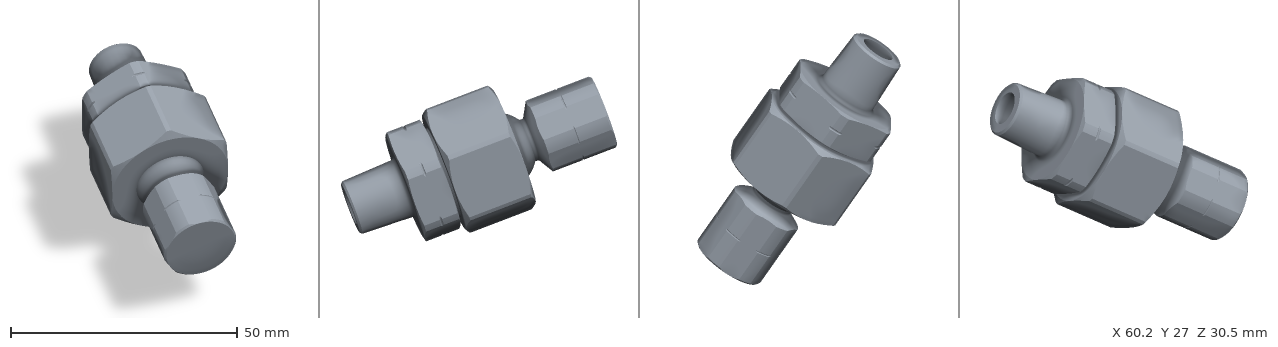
import cadquery as cq
import math

STUB_END = 12.05
SMALL_HEX_START = 12.95
SMALL_HEX_END = 21.5
LARGE_HEX_START = 22.2
LARGE_HEX_END = 38.8
NECK_START = 42.0
CONE_START = 42.85
TOTAL_LENGTH = 60.2

STUB_TIP_DIAMETER = 12.45
STUB_ROOT_DIAMETER = 13.4
TIP_CHAMFER = 0.5
ROOT_FILLET = SMALL_HEX_START - STUB_END
BORE_DIAMETER = 7.5
BORE_DEPTH = SMALL_HEX_END

SMALL_HEX_FLATS = 24.0
SMALL_HEX_CORNERS = 26.6
SMALL_HEX_CHAMFER_ANGLE = 15.0
LARGE_HEX_FLATS = 27.0
LARGE_HEX_CORNERS = 30.5
LARGE_HEX_CHAMFER_ANGLE = 30.0
END_HEX_FLATS = 15.95
END_HEX_CORNERS = 16.8
END_HEX_CHAMFER_ANGLE = 45.0

SMALL_GROOVE_RADIUS = 0.3
END_GROOVE_RADIUS = 0.2
END_GROOVE_FROM_END = 8.1

COLLAR_DIAMETER = 21.0
BALL_EXIT_RADIUS = 7.8
NECK_DIAMETER = 9.8
NECK_FILLET = 0.5
NECK_CONE_ANGLE = 60.0


def revolve_about_x(profile):
    """Turn a closed XY profile around the X axis."""
    return profile.close().revolve(360, (0, 0, 0), (1, 0, 0))


def hexagon(start, end, flats, turn):
    """Hexagonal bar along X; a turn of 0 puts corners at +Y and -Y, 30 puts them at +Z and -Z."""
    corner_circle = flats / math.cos(math.radians(30))
    bar = cq.Workplane("YZ", origin=(start, 0, 0)).polygon(6, corner_circle).extrude(end - start)
    return bar.rotate((0, 0, 0), (1, 0, 0), turn)


def chamfer_length(flats, corners, angle):
    """Axial length of a corner chamfer that starts at the circle touching the flats."""
    return (corners - flats) / 2 * math.tan(math.radians(angle))


def double_chamfered_hexagon(start, end, flats, corners, angle):
    """Hexagon with corners at +Z and -Z, rounded to a cylinder and chamfered at both ends."""
    length = chamfer_length(flats, corners, angle)
    envelope = revolve_about_x(
        cq.Workplane("XY")
        .moveTo(start, 0)
        .lineTo(start, flats / 2)
        .lineTo(start + length, corners / 2)
        .lineTo(end - length, corners / 2)
        .lineTo(end, flats / 2)
        .lineTo(end, 0)
    )
    return hexagon(start, end, flats, 30).intersect(envelope)


def corner_groove(station, corners, radius):
    """Ring of round section that marks the rounded corners of a hexagon."""
    section = cq.Workplane("XY").center(station, corners / 2).circle(radius)
    return section.revolve(360, (0, -corners / 2, 0), (1, -corners / 2, 0))


def tapered_stub():
    root_radius = STUB_ROOT_DIAMETER / 2
    tip_radius = STUB_TIP_DIAMETER / 2
    fillet_bend = ROOT_FILLET * (1 - math.sqrt(0.5))
    return revolve_about_x(
        cq.Workplane("XY")
        .moveTo(0, 0)
        .lineTo(0, tip_radius - TIP_CHAMFER)
        .lineTo(TIP_CHAMFER, tip_radius)
        .lineTo(STUB_END, root_radius)
        .threePointArc(
            (SMALL_HEX_START - fillet_bend, root_radius + fillet_bend),
            (SMALL_HEX_START, root_radius + ROOT_FILLET),
        )
        .lineTo(SMALL_HEX_START, 0)
    )


def small_hexagon():
    body = double_chamfered_hexagon(
        SMALL_HEX_START, SMALL_HEX_END, SMALL_HEX_FLATS, SMALL_HEX_CORNERS, SMALL_HEX_CHAMFER_ANGLE
    )
    middle = (SMALL_HEX_START + SMALL_HEX_END) / 2
    return body.cut(corner_groove(middle, SMALL_HEX_CORNERS, SMALL_GROOVE_RADIUS))


def collar():
    length = LARGE_HEX_START - SMALL_HEX_END
    return cq.Workplane("YZ", origin=(SMALL_HEX_END, 0, 0)).circle(COLLAR_DIAMETER / 2).extrude(length)


def large_hexagon():
    return double_chamfered_hexagon(
        LARGE_HEX_START, LARGE_HEX_END, LARGE_HEX_FLATS, LARGE_HEX_CORNERS, LARGE_HEX_CHAMFER_ANGLE
    )


def ball():
    """Part of the ball, centred on the X axis, between the large hexagon and the neck."""
    neck_radius = NECK_DIAMETER / 2
    length = NECK_START - LARGE_HEX_END
    middle = (LARGE_HEX_END + NECK_START) / 2
    centre = middle - (BALL_EXIT_RADIUS**2 - neck_radius**2) / (2 * length)
    ball_radius = math.hypot(NECK_START - centre, neck_radius)
    middle_radius = math.sqrt(ball_radius**2 - (middle - centre) ** 2)
    return revolve_about_x(
        cq.Workplane("XY")
        .moveTo(LARGE_HEX_END, 0)
        .lineTo(LARGE_HEX_END, BALL_EXIT_RADIUS)
        .threePointArc((middle, middle_radius), (NECK_START, neck_radius))
        .lineTo(NECK_START, 0)
    )


def end_hexagon():
    """Neck that flares through a cone into a hexagon with corners at +Y and -Y."""
    neck_radius = NECK_DIAMETER / 2
    corner_radius = END_HEX_CORNERS / 2
    flare = math.radians(NECK_CONE_ANGLE)
    cone_length = (corner_radius - neck_radius) / math.tan(flare)
    fillet_length = NECK_FILLET * math.tan(flare / 2)
    chamfer = chamfer_length(END_HEX_FLATS, END_HEX_CORNERS, END_HEX_CHAMFER_ANGLE)
    fillet_start = CONE_START - fillet_length
    fillet_end_radius = neck_radius + fillet_length * math.sin(flare)
    envelope = revolve_about_x(
        cq.Workplane("XY")
        .moveTo(NECK_START, 0)
        .lineTo(NECK_START, neck_radius)
        .lineTo(fillet_start, neck_radius)
        .threePointArc(
            (
                fillet_start + NECK_FILLET * math.sin(flare / 2),
                neck_radius + NECK_FILLET * (1 - math.cos(flare / 2)),
            ),
            (CONE_START + fillet_length * math.cos(flare), fillet_end_radius),
        )
        .lineTo(CONE_START + cone_length, corner_radius)
        .lineTo(TOTAL_LENGTH - chamfer, corner_radius)
        .lineTo(TOTAL_LENGTH, corner_radius - chamfer)
        .lineTo(TOTAL_LENGTH, 0)
    )
    body = hexagon(NECK_START, TOTAL_LENGTH, END_HEX_FLATS, 0).intersect(envelope)
    groove_station = TOTAL_LENGTH - END_GROOVE_FROM_END
    return body.cut(corner_groove(groove_station, END_HEX_CORNERS, END_GROOVE_RADIUS))


def blind_bore():
    return cq.Workplane("YZ").circle(BORE_DIAMETER / 2).extrude(BORE_DEPTH)


result = (
    tapered_stub()
    .union(small_hexagon())
    .union(collar())
    .union(large_hexagon())
    .union(ball())
    .union(end_hexagon())
    .cut(blind_bore())
)